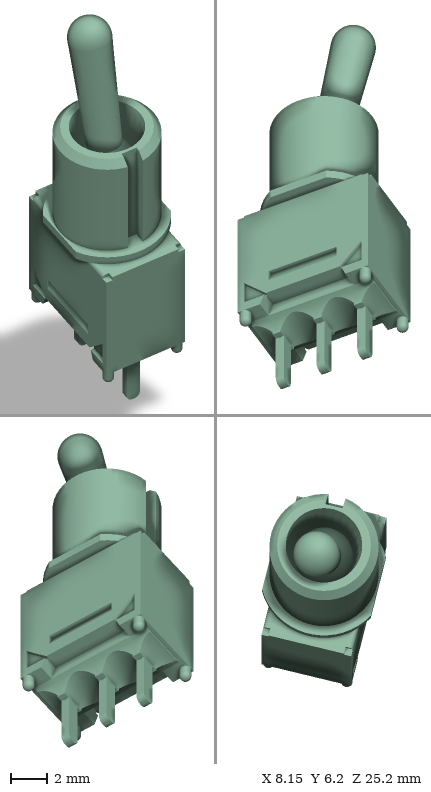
import cadquery as cq
import math

OVERALL_HEIGHT = 25.2

CASE_LENGTH = 8.15
CASE_WIDTH = 5.12
FRAME_TOP = 7.08
POST_SIDE = 0.4
RAIL_HEIGHT = 0.6
FRONT_FACE = CASE_WIDTH / 2

COVER_TOP = 7.3
COVER_THICKNESS = COVER_TOP - FRAME_TOP
COVER_BOTTOM = 0.7
COVER_LENGTH = CASE_LENGTH - 2 * POST_SIDE
COVER_CORNER = 1.35

DOVETAIL_BOTTOM_LENGTH = 5.32
DOVETAIL_SLOPE = 0.4
DOVETAIL_DEPTH = 1
DOVETAIL_TOP_LENGTH = DOVETAIL_BOTTOM_LENGTH - 2 * DOVETAIL_SLOPE * COVER_BOTTOM

WINDOW_LENGTH = 4.23
WINDOW_BOTTOM = 1.44
WINDOW_TOP = 2.3
LATCH_EDGE = 1.61
WINDOW_DEPTH = 0.3

FLANGE_TOP = 7.84
FLANGE_RADIUS = 3.55
FLANGE_WIDTH = 6.2
BUSHING_TOP = 14.46
BUSHING_RADIUS = 3.02
BUSHING_CHAMFER = 0.43
BORE_TOP_RADIUS = 2.12
KEYWAY_WIDTH = 0.98
KEYWAY_FLOOR = 2.3

PIVOT_HEIGHT = 11.75
BALL_RADIUS = 3.25 / 2
LEVER_TILT = 12.7
LEVER_LENGTH = 8.3
TIP_RADIUS = 1.25
LEVER_TAPER = 2
LEVER_TOP = PIVOT_HEIGHT + LEVER_LENGTH * math.cos(math.radians(LEVER_TILT)) + TIP_RADIUS

TERMINAL_PITCH = 2.55
TERMINAL_THICKNESS = 0.5
TERMINAL_WIDTH = 0.83
TERMINAL_TIP = LEVER_TOP - OVERALL_HEIGHT
TERMINAL_TIP_ROUND = 0.35
SHOULDER_WIDTH = 1.6
SHOULDER_BOTTOM = -0.75
TERMINAL_CENTERS = [-TERMINAL_PITCH, 0, TERMINAL_PITCH]

RESIN_BOTTOM = -0.6
RESIN_VALLEY = -0.13
RESIN_WIDTH = 2 * (FRONT_FACE - DOVETAIL_DEPTH)
RESIN_ARC_RADIUS = 1.39

PEG_RADIUS = 0.65 / 2
PEG_SHOULDER = -0.5


def make_frame():
    """Block with a full-height pocket for the cover between the posts, front and back."""
    frame = cq.Workplane().box(CASE_LENGTH, CASE_WIDTH, FRAME_TOP, centered=(True, True, False))
    for side in (-1, 1):
        pocket = (
            cq.Workplane()
            .box(COVER_LENGTH, 2 * COVER_THICKNESS, FRAME_TOP, centered=(True, True, False))
            .translate((0, side * FRONT_FACE, RAIL_HEIGHT))
        )
        dovetail = (
            cq.Workplane("XZ")
            .polyline([
                (-DOVETAIL_BOTTOM_LENGTH / 2, 0),
                (DOVETAIL_BOTTOM_LENGTH / 2, 0),
                (DOVETAIL_TOP_LENGTH / 2, COVER_BOTTOM),
                (-DOVETAIL_TOP_LENGTH / 2, COVER_BOTTOM),
            ])
            .close()
            .extrude(DOVETAIL_DEPTH, both=True)
            .translate((0, side * FRONT_FACE, 0))
        )
        frame = frame.cut(pocket).cut(dovetail)
    return frame


def make_cover():
    """Rounded cover with clipped lower corners, and its lid reaching out between the posts."""
    height = COVER_TOP - COVER_BOTTOM
    cover = (
        cq.Workplane()
        .box(COVER_LENGTH, CASE_WIDTH, height, centered=(True, True, False))
        .translate((0, 0, COVER_BOTTOM))
        .edges("|X and >Z").fillet(COVER_THICKNESS)
        .edges("|Y and <Z").chamfer(COVER_CORNER)
    )
    lid = (
        cq.Workplane()
        .box(CASE_LENGTH, CASE_WIDTH - 2 * POST_SIDE, COVER_THICKNESS, centered=(True, True, False))
        .translate((0, 0, FRAME_TOP))
    )
    return cover.union(lid)


def make_window():
    window_height = WINDOW_TOP - WINDOW_BOTTOM
    return (
        cq.Workplane()
        .box(WINDOW_LENGTH, WINDOW_DEPTH, window_height, centered=(True, False, False))
        .translate((0, -FRONT_FACE, WINDOW_BOTTOM))
    )


def make_latch():
    """Latch that fills the window and slopes inward from its edge to the top."""
    return (
        cq.Workplane("YZ")
        .polyline([
            (-FRONT_FACE, WINDOW_BOTTOM),
            (-FRONT_FACE, LATCH_EDGE),
            (-FRONT_FACE + WINDOW_DEPTH, WINDOW_TOP),
            (-FRONT_FACE + WINDOW_DEPTH, WINDOW_BOTTOM),
        ])
        .close()
        .extrude(WINDOW_LENGTH / 2, both=True)
    )


def make_bushing():
    """Flange with two flats and a chamfered bushing with a keyway down its +X side."""
    flange_flats = cq.Workplane().box(2 * FLANGE_RADIUS, FLANGE_WIDTH, 2 * FLANGE_TOP)
    flange = (
        cq.Workplane().workplane(offset=COVER_TOP)
        .circle(FLANGE_RADIUS)
        .extrude(FLANGE_TOP - COVER_TOP)
        .intersect(flange_flats)
    )
    barrel = (
        cq.Workplane().workplane(offset=FLANGE_TOP)
        .circle(BUSHING_RADIUS)
        .extrude(BUSHING_TOP - FLANGE_TOP)
        .faces(">Z").chamfer(BUSHING_CHAMFER)
    )
    keyway = (
        cq.Workplane()
        .box(BUSHING_RADIUS, KEYWAY_WIDTH, BUSHING_TOP - FLANGE_TOP, centered=(False, True, False))
        .translate((KEYWAY_FLOOR, 0, FLANGE_TOP))
    )
    return flange.union(barrel.cut(keyway))


def make_bore():
    """Conical bore that narrows down to a hemispherical seat for the lever ball."""
    return (
        cq.Workplane("XZ")
        .moveTo(0, BUSHING_TOP)
        .lineTo(BORE_TOP_RADIUS, BUSHING_TOP)
        .lineTo(BALL_RADIUS, PIVOT_HEIGHT)
        .radiusArc((0, PIVOT_HEIGHT - BALL_RADIUS), BALL_RADIUS)
        .close()
        .revolve()
    )


def make_resin(x):
    """Scallop along X crossed with a concave flare along Y, around one terminal."""
    half_pitch = TERMINAL_PITCH / 2
    scallop = (
        cq.Workplane("XZ")
        .moveTo(-half_pitch, 0)
        .lineTo(-half_pitch, RESIN_VALLEY)
        .radiusArc((-TERMINAL_THICKNESS / 2, RESIN_BOTTOM), RESIN_ARC_RADIUS)
        .lineTo(TERMINAL_THICKNESS / 2, RESIN_BOTTOM)
        .radiusArc((half_pitch, RESIN_VALLEY), RESIN_ARC_RADIUS)
        .lineTo(half_pitch, 0)
        .close()
        .extrude(RESIN_WIDTH, both=True)
    )
    flare = (
        cq.Workplane("YZ")
        .moveTo(-RESIN_WIDTH / 2, 0)
        .radiusArc((-SHOULDER_WIDTH / 2, RESIN_BOTTOM), RESIN_ARC_RADIUS)
        .lineTo(SHOULDER_WIDTH / 2, RESIN_BOTTOM)
        .radiusArc((RESIN_WIDTH / 2, 0), RESIN_ARC_RADIUS)
        .close()
        .extrude(TERMINAL_PITCH, both=True)
    )
    return scallop.intersect(flare).translate((x, 0, 0))


def make_terminal(x):
    """Flat terminal with a wide shoulder and a rounded tip."""
    shoulder = (
        cq.Workplane()
        .box(TERMINAL_THICKNESS, SHOULDER_WIDTH, -SHOULDER_BOTTOM, centered=(True, True, False))
        .translate((x, 0, SHOULDER_BOTTOM))
    )
    blade = (
        cq.Workplane()
        .box(TERMINAL_THICKNESS, TERMINAL_WIDTH, -TERMINAL_TIP, centered=(True, True, False))
        .translate((x, 0, TERMINAL_TIP))
        .edges("|X and <Z").fillet(TERMINAL_TIP_ROUND)
    )
    return shoulder.union(blade)


def make_peg(x, y):
    shank = cq.Workplane().circle(PEG_RADIUS).extrude(PEG_SHOULDER)
    dome = cq.Workplane().sphere(PEG_RADIUS).translate((0, 0, PEG_SHOULDER))
    return shank.union(dome).translate((x, y, 0))


def make_housing():
    """Everything fixed: case, bushing, resin, terminals and pegs."""
    housing = make_frame().union(make_cover(), clean=False)
    for turn in (0, 180):
        window = make_window().rotate((0, 0, 0), (0, 0, 1), turn)
        latch = make_latch().rotate((0, 0, 0), (0, 0, 1), turn)
        housing = housing.cut(window, clean=False).union(latch, clean=False)
    housing = housing.union(make_bushing(), clean=False).cut(make_bore(), clean=False)
    for x in TERMINAL_CENTERS:
        housing = housing.union(make_resin(x), clean=False)
        housing = housing.union(make_terminal(x), clean=False)
    for x in (-1, 1):
        for y in (-1, 1):
            peg = make_peg(x * (CASE_LENGTH / 2 - PEG_RADIUS), y * (CASE_WIDTH / 2 - PEG_RADIUS))
            housing = housing.union(peg, clean=False)
    return housing


def make_lever():
    """Ball, shaft that widens outward, and round tip tangent to the shaft, tilted toward -X."""
    taper = math.radians(LEVER_TAPER)
    shaft_end = LEVER_LENGTH - TIP_RADIUS * math.sin(taper)
    shaft_end_radius = TIP_RADIUS * math.cos(taper)
    shaft_start_radius = shaft_end_radius - shaft_end * math.tan(taper)
    shaft = (
        cq.Workplane("XZ")
        .lineTo(shaft_start_radius, 0)
        .lineTo(shaft_end_radius, shaft_end)
        .radiusArc((0, LEVER_LENGTH + TIP_RADIUS), -TIP_RADIUS)
        .close()
        .revolve()
    )
    ball = cq.Workplane().sphere(BALL_RADIUS)
    return (
        ball.union(shaft)
        .rotate((0, 0, 0), (0, 1, 0), -LEVER_TILT)
        .translate((0, 0, PIVOT_HEIGHT))
    )


housing = make_housing()
lever = make_lever()
result = cq.Compound.makeCompound([housing.solids().val(), lever.solids().val()])